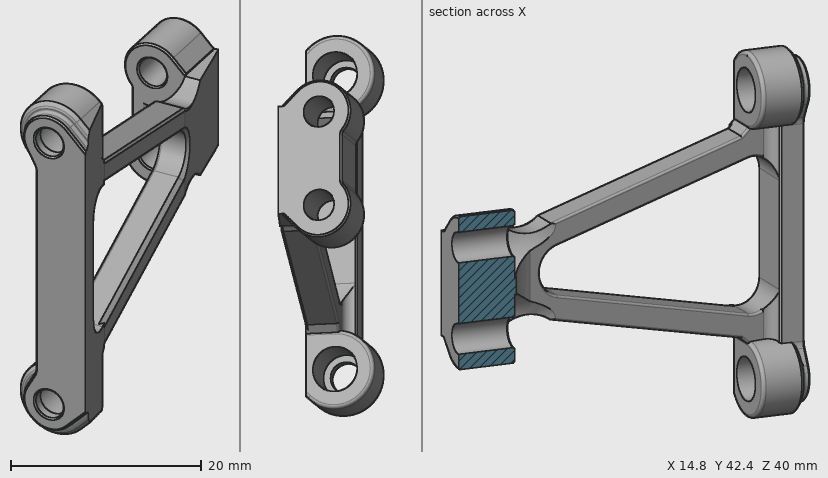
import cadquery as cq
import math


DEPTH = 42.4
FRONT_RIGHT_X = 4.37
EXTRA = 5.0
DIAGONAL = math.sqrt(0.5)
SELECT_TOLERANCE = 0.001
SELECT_MARGIN = 0.2

HOLE_D = 3.3
HOLE_CHAMFER = 0.18
COUNTERBORE_D = 4.8
COUNTERBORE_START_Y = 1.2

FRONT_HOLE_Z = 15.8
FRONT_BOSS_R = 4.2
FRONT_BOSS_Y = 1.0
FRONT_BOSS_BACK_Y = 6.05
FRONT_BOSS_CHAMFER = 0.5
FRONT_BOSS_BACK_FILLET = 0.4
BOSS_OVERSHOOT = 2.0

PAD_R = 3.1
PAD_BLEND_R = 0.35
BAR_LEFT_X = -1.6
BAR_BACK_Y = 2.85
BAR_CHAMFER = 0.2
NECK_Z = 12.3
NECK_BLEND_R = 1.5

REAR_HOLE_X = -7.0
REAR_HOLE_Z = 5.0
REAR_CENTRE_Z = -0.4
REAR_BOSS_R = 3.4
REAR_BLOCK_Y = 35.88
REAR_FLAT_X = -9.48
REAR_CHAMFER = 0.2
WAIST_FILLET = 0.6
WEB_LEFT_X = -3.04

REAR_RIGHT_X = -2.6
RIGHT_BEND_REAR = (0.05, 30.0)
RIGHT_BEND_FRONT = (3.05, 6.6)
LEFT_FACE_FRONT = (-0.28, 4.2)
LEFT_FACE_REAR = (-3.99, 32.8)
RIB_TIP_X = -8.0
RIB_ARC_MID = (-5.05, 34.55)

STRUT_FRONT_Y = 6.9
STRUT_FRONT_HALF_Z = 11.05
STRUT_REAR_Y = 30.2
STRUT_REAR_HALF_Z = 5.3
FOOT_HALF_Z = 11.9
FOOT_BLEND_Y = 5.95
NECK_MID_Y = 33.0
NECK_MID_HALF_Z = 4.45
WEB_FRONT_Y = 35.7
WEB_HALF_Z = 5.75

STRUT_EDGE = 0.25
WINDOW_RIGHT_CHAMFER = 0.5

WINDOW_APEX_Y = 40.5
WINDOW_FRONT_HALF_Z = 9.3
WINDOW_APEX_R = 2.81
WINDOW_CORNER_R = 2.6

CLEARANCE_BACK_R = 4.1
CLEARANCE_FRONT_R = 3.4
CLEARANCE_FRONT_Y = 29.6


def prism_along_y(outline, y_front, y_back):
    """Extrude an outline drawn on the XZ workplane from y_front to y_back."""
    return outline.extrude(-(y_back - y_front)).translate((0, y_front, 0))


def cylinder_along_y(x, z, radius, y_front, y_back):
    outline = cq.Workplane("XZ").center(x, z).circle(radius)
    return prism_along_y(outline, y_front, y_back)


def mirrored_pair(upper):
    return upper.union(upper.mirror("XY"))


def side_envelope():
    """Everything to the left of the bent right-hand surface."""
    far_left = REAR_HOLE_X - REAR_BOSS_R - EXTRA
    outline = (
        cq.Workplane("XY")
        .moveTo(far_left, 0)
        .lineTo(FRONT_RIGHT_X, 0)
        .lineTo(*RIGHT_BEND_FRONT)
        .lineTo(*RIGHT_BEND_REAR)
        .lineTo(REAR_RIGHT_X, DEPTH)
        .lineTo(far_left, DEPTH)
        .close()
    )
    return outline.extrude(FRONT_HOLE_Z + EXTRA, both=True)


def boss_outline(x, z, radius, right_x):
    """Round boss running out to the right; its top edge slopes down at 45 degrees."""
    tangent = radius * DIAGONAL
    return (
        cq.Workplane("XZ")
        .moveTo(x, z - radius)
        .threePointArc((x - tangent, z + tangent), (x + tangent, z + tangent))
        .lineTo(right_x, z + 2 * tangent - (right_x - x))
        .lineTo(right_x, z - radius)
        .close()
    )


def front_boss():
    """Upper front boss with its raised pad, running past the right surface that later trims it."""
    right_x = FRONT_RIGHT_X + BOSS_OVERSHOOT
    boss_shape = boss_outline(0, FRONT_HOLE_Z, FRONT_BOSS_R, right_x)
    boss = prism_along_y(boss_shape, FRONT_BOSS_Y, FRONT_BOSS_BACK_Y)
    boss = boss.faces("<Y").chamfer(FRONT_BOSS_CHAMFER)
    boss = boss.faces(">Y").edges("%CIRCLE").fillet(FRONT_BOSS_BACK_FILLET)
    pad_shape = boss_outline(0, FRONT_HOLE_Z, PAD_R, right_x)
    pad = prism_along_y(pad_shape, BAR_CHAMFER, FRONT_BOSS_BACK_Y - FRONT_BOSS_BACK_FILLET)
    pad_base = cq.selectors.BoxSelector(
        (-PAD_R, FRONT_BOSS_Y - SELECT_MARGIN, FRONT_HOLE_Z - PAD_R / 2),
        (right_x, FRONT_BOSS_Y + SELECT_MARGIN, FRONT_HOLE_Z + PAD_R),
    )
    return boss.union(pad).edges(pad_base).edges("not(>X)").fillet(PAD_BLEND_R)


def front_bar():
    """Bar with a rounded pad at each end, drawn as an upper half and mirrored."""
    neck_dz = FRONT_HOLE_Z - NECK_Z
    neck_distance = math.hypot(BAR_LEFT_X, neck_dz)
    neck_angle = math.atan2(-neck_dz, BAR_LEFT_X) - math.acos(PAD_R / neck_distance)
    neck_tangent = (PAD_R * math.cos(neck_angle), FRONT_HOLE_Z + PAD_R * math.sin(neck_angle))
    tangent = PAD_R * DIAGONAL
    arc_mid = (-tangent, FRONT_HOLE_Z + tangent)
    outline = (
        cq.Workplane("XZ")
        .moveTo(BAR_LEFT_X, 0)
        .lineTo(BAR_LEFT_X, NECK_Z)
        .lineTo(*neck_tangent)
        .threePointArc(arc_mid, (tangent, FRONT_HOLE_Z + tangent))
        .lineTo(FRONT_RIGHT_X, FRONT_HOLE_Z + 2 * tangent - FRONT_RIGHT_X)
        .lineTo(FRONT_RIGHT_X, 0)
        .close()
    )
    half_bar = prism_along_y(outline, 0, BAR_BACK_Y)
    neck_corner = cq.selectors.NearestToPointSelector((BAR_LEFT_X, BAR_BACK_Y / 2, NECK_Z))
    half_bar = half_bar.edges("|Y").edges(neck_corner).fillet(NECK_BLEND_R)
    bar = mirrored_pair(half_bar).clean()
    left_back_edge = cq.selectors.NearestToPointSelector((BAR_LEFT_X, BAR_BACK_Y, 0))
    bar = bar.edges(left_back_edge).chamfer(BAR_CHAMFER)
    return bar.faces("<Y").edges("not(>X)").chamfer(BAR_CHAMFER)


def rear_block():
    """Two bosses joined by a flat-sided waist, with a narrower web running to the right."""
    tangent = REAR_BOSS_R * DIAGONAL
    web_z = REAR_HOLE_Z + 2 * tangent - (WEB_LEFT_X - REAR_HOLE_X)
    waist_half_z = REAR_HOLE_Z - math.sqrt(REAR_BOSS_R**2 - (REAR_FLAT_X - REAR_HOLE_X) ** 2)
    arc_mid = (REAR_HOLE_X - tangent, REAR_HOLE_Z + tangent)
    outline = (
        cq.Workplane("XZ")
        .moveTo(REAR_FLAT_X, 0)
        .lineTo(REAR_FLAT_X, waist_half_z)
        .threePointArc(arc_mid, (REAR_HOLE_X + tangent, REAR_HOLE_Z + tangent))
        .lineTo(WEB_LEFT_X, web_z)
        .lineTo(WEB_LEFT_X, 0)
        .close()
    )
    block = mirrored_pair(prism_along_y(outline, REAR_BLOCK_Y, DEPTH)).clean()
    waist_corners = cq.selectors.BoxSelector(
        (REAR_FLAT_X - SELECT_MARGIN, REAR_BLOCK_Y, -REAR_HOLE_Z),
        (REAR_FLAT_X + SELECT_MARGIN, DEPTH, REAR_HOLE_Z),
    )
    block = block.edges("|Y").edges(waist_corners).fillet(WAIST_FILLET)
    return block.faces("<Y or >Y").edges("not(>X)").chamfer(REAR_CHAMFER)


def line_x(start, end, y):
    """X at a given Y on the straight line through two (x, y) points."""
    return start[0] + (y - start[1]) * (end[0] - start[0]) / (end[1] - start[1])


def facing(start, end):
    """Selector for faces whose normal points to the right of travel from start to end in XY."""
    normal = cq.Vector(end[1] - start[1], start[0] - end[0], 0).normalized()
    return cq.selectors.DirectionSelector(normal, SELECT_TOLERANCE)


def extrude_side_profile(outline):
    return outline.close().extrude(FRONT_HOLE_Z, both=True)


def strut_slab():
    """Flat slab between the left and right strut faces, as long as the whole part."""
    left = (LEFT_FACE_FRONT, LEFT_FACE_REAR)
    right = (RIGHT_BEND_FRONT, RIGHT_BEND_REAR)
    return extrude_side_profile(
        cq.Workplane("XY")
        .moveTo(line_x(*left, BAR_CHAMFER), BAR_CHAMFER)
        .lineTo(line_x(*left, DEPTH), DEPTH)
        .lineTo(line_x(*right, DEPTH), DEPTH)
        .lineTo(line_x(*right, BAR_CHAMFER), BAR_CHAMFER)
    )


def foot_profile():
    """Concave blend from the strut face out to the bar."""
    x_strut, y_strut = LEFT_FACE_FRONT
    x_bar = BAR_LEFT_X + BAR_CHAMFER
    arc_mid = (
        x_strut + (x_bar - x_strut) * (1 - DIAGONAL),
        BAR_BACK_Y + (y_strut - BAR_BACK_Y) * (1 - DIAGONAL),
    )
    return extrude_side_profile(
        cq.Workplane("XY")
        .moveTo(BAR_LEFT_X, BAR_CHAMFER)
        .lineTo(BAR_LEFT_X, BAR_BACK_Y - BAR_CHAMFER)
        .lineTo(x_bar, BAR_BACK_Y)
        .threePointArc(arc_mid, LEFT_FACE_FRONT)
        .lineTo(*RIGHT_BEND_FRONT)
        .lineTo(FRONT_RIGHT_X, BAR_CHAMFER)
    )


def rib_profile():
    """Rib curving from the strut face out to the front of the rear block."""
    return extrude_side_profile(
        cq.Workplane("XY")
        .moveTo(*LEFT_FACE_REAR)
        .threePointArc(RIB_ARC_MID, (RIB_TIP_X, REAR_BLOCK_Y))
        .lineTo(WEB_LEFT_X, REAR_BLOCK_Y)
        .lineTo(WEB_LEFT_X, LEFT_FACE_REAR[1])
    )


def outline_point(y, half_z, side):
    """Point of the arm outline; the centre line drifts down to the rear block's centre."""
    drift = min(max(y - BAR_BACK_Y, 0) / (WEB_FRONT_Y - BAR_BACK_Y), 1)
    return (y, REAR_CENTRE_Z * drift + side * half_z)


def arm_half(side):
    """Solid outer shape of the arm above (side = 1) or below (side = -1) its middle."""
    return (
        cq.Workplane("YZ")
        .moveTo(*outline_point(BAR_CHAMFER, 0, side))
        .lineTo(*outline_point(BAR_CHAMFER, FOOT_HALF_Z, side))
        .lineTo(*outline_point(FOOT_BLEND_Y, FOOT_HALF_Z, side))
        .lineTo(*outline_point(STRUT_FRONT_Y, STRUT_FRONT_HALF_Z, side))
        .lineTo(*outline_point(STRUT_REAR_Y, STRUT_REAR_HALF_Z, side))
        .threePointArc(
            outline_point(NECK_MID_Y, NECK_MID_HALF_Z, side),
            outline_point(WEB_FRONT_Y, WEB_HALF_Z, side),
        )
        .lineTo(*outline_point(DEPTH, WEB_HALF_Z, side))
        .lineTo(*outline_point(DEPTH, 0, side))
        .lineTo(*outline_point(WEB_FRONT_Y, 0, side))
        .lineTo(*outline_point(BAR_BACK_Y, 0, side))
        .close()
        .extrude(FRONT_HOLE_Z, both=True)
    )


def arm_outline():
    """Arm as seen along X: diverging struts around a rounded triangular window."""
    window = (
        cq.Workplane("YZ")
        .moveTo(*outline_point(BAR_BACK_Y, WINDOW_FRONT_HALF_Z, -1))
        .lineTo(*outline_point(BAR_BACK_Y, WINDOW_FRONT_HALF_Z, 1))
        .lineTo(*outline_point(WINDOW_APEX_Y, 0, 1))
        .close()
        .extrude(FRONT_HOLE_Z, both=True)
        .edges("|X and >Y")
        .fillet(WINDOW_APEX_R)
        .edges("|X and <Y")
        .fillet(WINDOW_CORNER_R)
    )
    return arm_half(1).union(arm_half(-1)).clean().cut(window)


def boss_clearance():
    """Cone that pares the rib away in front of the upper rear boss."""
    cone = cq.Solid.makeCone(
        CLEARANCE_FRONT_R,
        CLEARANCE_BACK_R,
        REAR_BLOCK_Y - CLEARANCE_FRONT_Y,
        cq.Vector(REAR_HOLE_X, CLEARANCE_FRONT_Y, REAR_HOLE_Z),
        cq.Vector(0, 1, 0),
    )
    return cq.Workplane(obj=cone)


def arm():
    """Edge-broken struts joined to the front foot and the rear rib."""
    outline = arm_outline()
    struts = strut_slab().intersect(outline)
    left_face = facing(LEFT_FACE_REAR, LEFT_FACE_FRONT)
    right_face = facing(RIGHT_BEND_FRONT, RIGHT_BEND_REAR)
    struts = struts.faces(left_face).edges("not(|Z)").fillet(STRUT_EDGE)
    window_edges = struts.faces(right_face).val().innerWires()[0].Edges()
    struts = struts.newObject(window_edges).chamfer(WINDOW_RIGHT_CHAMFER)
    outer_edges = struts.faces(right_face).val().outerWire().Edges()
    struts = struts.newObject(outer_edges).edges("not(|Z)").chamfer(STRUT_EDGE)
    body = struts.union(foot_profile().intersect(outline)).union(rib_profile().intersect(outline))
    return body.cut(mirrored_pair(boss_clearance()).translate((0, 0, REAR_CENTRE_Z)))


def hole_cutter(x, z, y_front):
    """Through hole along Y, chamfered at its front rim."""
    bore = cylinder_along_y(x, z, HOLE_D / 2, y_front, DEPTH + EXTRA)
    rim = cq.Solid.makeCone(
        HOLE_D / 2 + HOLE_CHAMFER,
        HOLE_D / 2,
        HOLE_CHAMFER,
        cq.Vector(x, y_front, z),
        cq.Vector(0, 1, 0),
    )
    return bore.union(cq.Workplane(obj=rim))


def counterbore_cutter():
    """Wider bore entering the upper front boss from behind."""
    y_back = FRONT_BOSS_BACK_Y + EXTRA
    return cylinder_along_y(0, FRONT_HOLE_Z, COUNTERBORE_D / 2, COUNTERBORE_START_Y, y_back)


front_end = front_bar().union(mirrored_pair(front_boss()))
rear_shift = (0, 0, REAR_CENTRE_Z)
front_holes = mirrored_pair(hole_cutter(0, FRONT_HOLE_Z, 0).union(counterbore_cutter()))
rear_holes = mirrored_pair(hole_cutter(REAR_HOLE_X, REAR_HOLE_Z, REAR_BLOCK_Y)).translate(rear_shift)

body = front_end.union(arm()).union(rear_block().translate(rear_shift))
body = body.intersect(side_envelope())
result = body.cut(front_holes).cut(rear_holes)